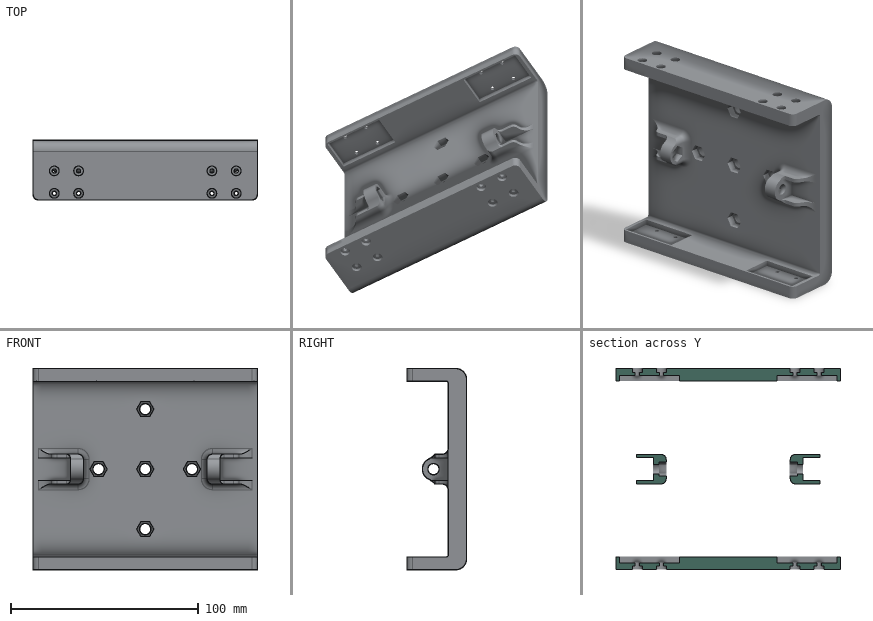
import cadquery as cq
import math

WIDTH = 120.0
DEPTH = 32.0
HEIGHT = 107.8
PLATE_THICKNESS = 10.0
FLANGE_THICKNESS = 7.0
BACK_RADIUS = 6.0
INNER_RADIUS = 1.0
FLANGE_CORNER_RADIUS = 3.0
PLATE_FACE = -PLATE_THICKNESS
FLANGE_LENGTH = DEPTH - PLATE_THICKNESS

BOLT_DIAMETER = 5.9
NUT_FLATS = 8.0
NUT_SIDES = 6
NUT_CORNERS = NUT_FLATS / math.cos(math.pi / NUT_SIDES)
PLATE_NUT_DEPTH = 4.0
BOLT_X = 25.0
BOLT_Z = 32.0

POCKET_X = 42.1
POCKET_FROM_FRONT = 9.6
POCKET_LENGTH = 31.9
POCKET_WIDTH = 17.0
POCKET_DEPTH = 3.0
SCREW_SPACING_X = 13.0
SCREW_SPACING_Y = 12.0
SCREW_DIAMETER = 2.2
SCREW_HEAD_DIAMETER = 5.2
SCREW_HEAD_DEPTH = 2.0

LUG_TAIL_X = 57.0
BOSS_OUTER_X = 40.1
BOSS_INNER_X = 33.0
LUG_HALF_WIDTH = 8.0
LUG_CHANNEL_WIDTH = 12.0
LUG_CORNER_RADIUS = 3.0
LUG_FOOT_RADIUS = 3.0
LEG_HEIGHT = 7.0
LEG_ROOT_RADIUS = 7.5
LEG_CREST_RADIUS = 3.0
BOSS_ROOT_RADIUS = 2.0
BOSS_RADIUS = 6.0
BOSS_AXIS_HEIGHT = 7.8
BOSS_HEIGHT = BOSS_AXIS_HEIGHT + BOSS_RADIUS
CROWN_HALF_WIDTH = 5.4
BOSS_NUT_DEPTH = 4.0

OVERLAP = 1.2
PICK_MARGIN = 0.1


def channel():
    """U-shaped bracket with a rounded back and rounded flange corners."""
    body = cq.Workplane("XY").box(WIDTH, DEPTH, HEIGHT).translate((0, -DEPTH / 2, 0))
    body = body.edges("|X and >Y").fillet(BACK_RADIUS)
    body = body.edges("|Z and <Y").fillet(FLANGE_CORNER_RADIUS)
    gap = (
        cq.Workplane("XY")
        .box(WIDTH + 2 * OVERLAP, FLANGE_LENGTH + OVERLAP, HEIGHT - 2 * FLANGE_THICKNESS)
        .edges("|X and >Y")
        .fillet(INNER_RADIUS)
        .translate((0, PLATE_FACE - (FLANGE_LENGTH + OVERLAP) / 2, 0))
    )
    return body.cut(gap)


def plate_bolt_cuts():
    """Through holes with hexagonal recesses sunk from the plate face."""
    points = [(0, 0), (-BOLT_X, 0), (BOLT_X, 0), (0, -BOLT_Z), (0, BOLT_Z)]
    plane = cq.Workplane("XZ", origin=(0, PLATE_FACE, 0)).pushPoints(points)
    holes = plane.circle(BOLT_DIAMETER / 2).extrude(-PLATE_THICKNESS)
    recesses = plane.polygon(NUT_SIDES, NUT_CORNERS).extrude(-PLATE_NUT_DEPTH)
    return holes.union(recesses)


def flange_cuts(side):
    """Pocket, screw holes and screw-head counterbores at one end of the top flange."""
    center = (side * POCKET_X, POCKET_FROM_FRONT - DEPTH)
    outside = cq.Workplane("XY", origin=(*center, HEIGHT / 2))
    screws = outside.rarray(SCREW_SPACING_X, SCREW_SPACING_Y, 2, 2)
    holes = screws.circle(SCREW_DIAMETER / 2).extrude(-FLANGE_THICKNESS)
    heads = screws.circle(SCREW_HEAD_DIAMETER / 2).extrude(-SCREW_HEAD_DEPTH)
    pocket = (
        cq.Workplane("XY", origin=(*center, HEIGHT / 2 - FLANGE_THICKNESS))
        .rect(POCKET_LENGTH, POCKET_WIDTH)
        .extrude(POCKET_DEPTH)
    )
    return holes.union(heads).union(pocket)


def lug_section():
    """Lug cross-section: straight sides and a round crown joined by tangent hollow shoulders."""
    crown_angle = math.asin(CROWN_HALF_WIDTH / BOSS_RADIUS)

    def crown_point(angle):
        return (
            -BOSS_AXIS_HEIGHT - BOSS_RADIUS * math.cos(angle),
            BOSS_RADIUS * math.sin(angle),
        )

    return (
        cq.Workplane("YZ", origin=(-LUG_TAIL_X - OVERLAP, PLATE_FACE, 0))
        .moveTo(*crown_point(0))
        .threePointArc(crown_point(crown_angle / 2), crown_point(crown_angle))
        .tangentArcPoint((-LEG_HEIGHT, LUG_HALF_WIDTH), relative=False)
        .lineTo(OVERLAP, LUG_HALF_WIDTH)
        .lineTo(OVERLAP, 0)
        .mirrorX()
        .extrude(LUG_TAIL_X + OVERLAP - BOSS_INNER_X)
        .edges("|Y and >X")
        .fillet(LUG_CORNER_RADIUS)
    )


def lug_side_profile():
    """Envelope seen along Z: S-curved leg, flat top, and a rounded step up to the boss."""
    sweep = math.acos(1 - LEG_HEIGHT / (LEG_ROOT_RADIUS + LEG_CREST_RADIUS))
    root_x = LEG_ROOT_RADIUS * math.sin(sweep)
    root_height = LEG_ROOT_RADIUS * (1 - math.cos(sweep))
    root_mid = (
        LEG_ROOT_RADIUS * math.sin(sweep / 2),
        -LEG_ROOT_RADIUS * (1 - math.cos(sweep / 2)),
    )
    crest_x = root_x + LEG_CREST_RADIUS * math.sin(sweep)
    crest_mid = (
        crest_x - LEG_CREST_RADIUS * math.sin(sweep / 2),
        -LEG_HEIGHT + LEG_CREST_RADIUS * (1 - math.cos(sweep / 2)),
    )
    step_x = LUG_TAIL_X - BOSS_OUTER_X
    step_mid = (
        step_x - BOSS_ROOT_RADIUS * (1 - math.sqrt(0.5)),
        -LEG_HEIGHT - BOSS_ROOT_RADIUS * (1 - math.sqrt(0.5)),
    )
    top = -BOSS_HEIGHT - OVERLAP
    half_width = LUG_HALF_WIDTH + LUG_FOOT_RADIUS
    return (
        cq.Workplane("XY", origin=(-LUG_TAIL_X, PLATE_FACE, 0))
        .moveTo(0, OVERLAP)
        .lineTo(0, 0)
        .threePointArc(root_mid, (root_x, -root_height))
        .threePointArc(crest_mid, (crest_x, -LEG_HEIGHT))
        .lineTo(step_x - BOSS_ROOT_RADIUS, -LEG_HEIGHT)
        .threePointArc(step_mid, (step_x, -LEG_HEIGHT - BOSS_ROOT_RADIUS))
        .lineTo(step_x, top)
        .lineTo(LUG_TAIL_X, top)
        .lineTo(LUG_TAIL_X, OVERLAP)
        .close()
        .extrude(half_width, both=True)
    )


def left_lug():
    """Lug on the -X side, overlapping the plate so the two join cleanly."""
    length = LUG_TAIL_X + OVERLAP - BOSS_INNER_X
    margin = LUG_FOOT_RADIUS + OVERLAP
    base = cq.Workplane("XY").box(
        length + margin, OVERLAP, 2 * (LUG_HALF_WIDTH + margin), centered=(False, False, True)
    )
    lug = lug_section().union(base.translate((-LUG_TAIL_X - OVERLAP, PLATE_FACE, 0)))

    foot = cq.selectors.BoxSelector(
        (-LUG_TAIL_X - 2 * OVERLAP, PLATE_FACE - PICK_MARGIN, -LUG_HALF_WIDTH - PICK_MARGIN),
        (-BOSS_INNER_X + PICK_MARGIN, PLATE_FACE + PICK_MARGIN, LUG_HALF_WIDTH + PICK_MARGIN),
    )
    lug = lug.edges(foot).edges("not <X").fillet(LUG_FOOT_RADIUS)
    lug = lug.intersect(lug_side_profile())

    channel_cut = cq.Workplane("XY").box(
        LUG_TAIL_X - BOSS_OUTER_X,
        BOSS_HEIGHT,
        LUG_CHANNEL_WIDTH,
        centered=(False, False, True),
    )
    return lug.cut(channel_cut.translate((-LUG_TAIL_X, PLATE_FACE - BOSS_HEIGHT, 0)))


def left_lug_bore():
    """Cross bolt hole, with a hexagonal recess in the boss end facing the part's center."""
    axis = cq.Workplane("YZ", origin=(-BOSS_INNER_X, PLATE_FACE - BOSS_AXIS_HEIGHT, 0))
    bore = axis.circle(BOLT_DIAMETER / 2).extrude(BOSS_INNER_X - BOSS_OUTER_X)
    recess = (
        axis.transformed(rotate=(0, 0, 180 / NUT_SIDES))
        .workplane(offset=-BOSS_NUT_DEPTH)
        .polygon(NUT_SIDES, NUT_CORNERS)
        .extrude(BOSS_NUT_DEPTH + LUG_FOOT_RADIUS)
    )
    return bore.union(recess)


result = channel()
for side in (-1, 1):
    top_cuts = flange_cuts(side)
    result = result.cut(top_cuts).cut(top_cuts.mirror("XY"))

lug = left_lug().cut(left_lug_bore())
result = result.union(lug).union(lug.mirror("YZ"))

result = result.cut(plate_bolt_cuts())